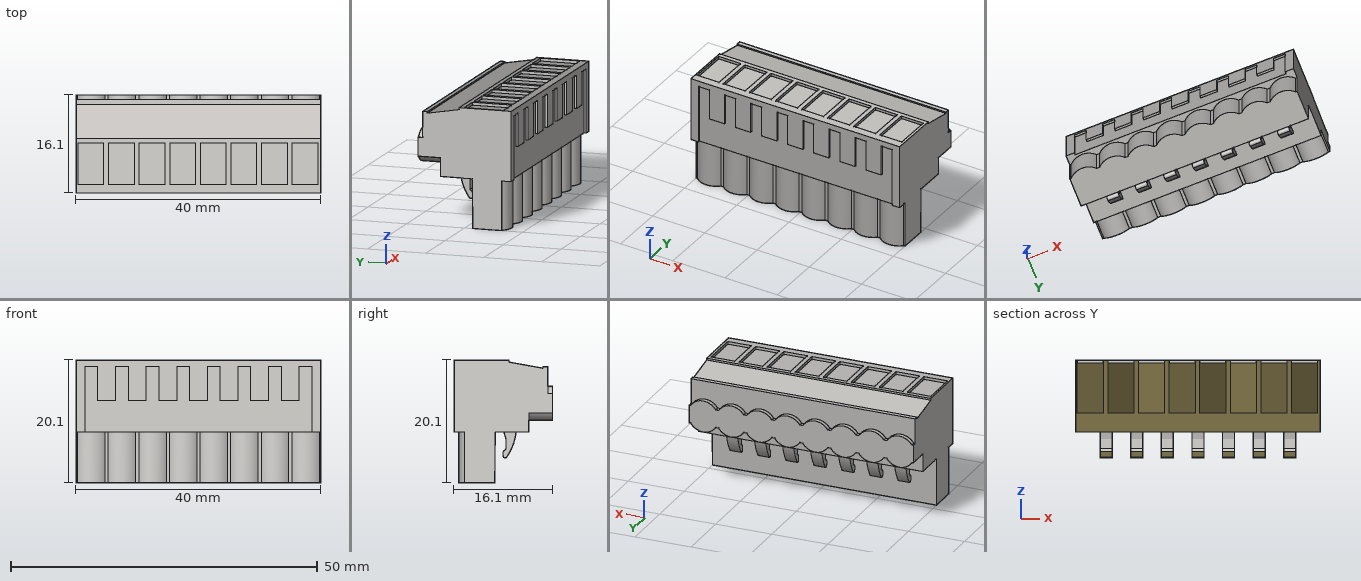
import cadquery as cq


POLES = 8
PITCH = 5.0
LENGTH = POLES * PITCH

HEIGHT = 20.1
DEPTH = 16.1
BODY_BOTTOM = 8.3
TOP_DEPTH = 8.95
SLOPE_FRONT_Z = 19.75
SLOPE_REAR_Z = 18.75
RIM_FRONT_Y = 14.5
RIM_Z = 19.0
REAR_WALL_Y = 15.3
SHELF_TOP = 14.6
SHELF_BOTTOM = 11.45
BODY_REAR_Y = 12.2
STEM_FRONT_Y = 1.65
STEM_REAR_Y = 6.7
STEM_TAPER = 0.1

ROUND_WIDTH = 4.5
COLUMN_BULGE = 0.9
FUNNEL_BULGE = 1.2

WINDOW_OFFSET = -0.1
WINDOW_WIDTH = 4.2
WINDOW_FRONT_Y = 1.45
WINDOW_REAR_Y = 8.2
WINDOW_DEPTH = 0.5
CLAMP_BOTTOM = SHELF_BOTTOM

COMB_DEPTH = 0.35
COMB_TOOTH_WIDTH = 2.1
COMB_TOP = 19.05
COMB_TOOTH_BASE = 13.5

HOOK_WIDTH = 2.0
HOOK_ROOT_REAR_Y = 10.1
HOOK_ROOT_FRONT_Y = 8.1
HOOK_NECK_Y = 8.45
HOOK_NECK_TOP = 7.15
HOOK_NECK_BOTTOM = 5.6
HOOK_NOSE_Y = 7.95
HOOK_NOSE_TOP = 5.1
HOOK_NOSE_BOTTOM = 4.5
HOOK_TIP = (8.5, 4.1)
HOOK_TIP_ROUND = (8.1, 4.15)
HOOK_BACK_MIDDLE = (9.6, 6.1)

pole_centres = [(pole + 0.5) * PITCH - LENGTH / 2 for pole in range(POLES)]
pole_boundaries = [centre + PITCH / 2 for centre in pole_centres[:-1]]


def box(x_min, x_max, y_min, y_max, z_min, z_max):
    """Block between the given limits."""
    size = (x_max - x_min, y_max - y_min, z_max - z_min)
    return cq.Workplane("XY").box(*size, centered=False).translate((x_min, y_min, z_min))


def make_profile():
    """Constant cross-section of the housing, extruded along the whole row."""
    outline = [
        (0, BODY_BOTTOM),
        (0, HEIGHT),
        (TOP_DEPTH, HEIGHT),
        (TOP_DEPTH, SLOPE_FRONT_Z),
        (RIM_FRONT_Y, SLOPE_REAR_Z),
        (RIM_FRONT_Y, RIM_Z),
        (REAR_WALL_Y, RIM_Z),
        (REAR_WALL_Y, SHELF_TOP),
        (DEPTH, SHELF_TOP),
        (DEPTH, SHELF_BOTTOM),
        (BODY_REAR_Y, SHELF_BOTTOM),
        (BODY_REAR_Y, BODY_BOTTOM),
        (STEM_REAR_Y, BODY_BOTTOM),
        (STEM_REAR_Y - STEM_TAPER, 0),
        (STEM_FRONT_Y, 0),
        (STEM_FRONT_Y, BODY_BOTTOM),
    ]
    return cq.Workplane("YZ").polyline(outline).close().extrude(LENGTH / 2, both=True)


def make_column(centre):
    """Rounded column on the front of the stem."""
    left = centre - ROUND_WIDTH / 2
    right = left + ROUND_WIDTH
    back = (STEM_FRONT_Y + STEM_REAR_Y - STEM_TAPER) / 2
    return (
        cq.Workplane("XY")
        .moveTo(left, back)
        .lineTo(left, STEM_FRONT_Y)
        .threePointArc((centre, STEM_FRONT_Y - COLUMN_BULGE), (right, STEM_FRONT_Y))
        .lineTo(right, back)
        .close()
        .extrude(BODY_BOTTOM)
    )


def make_funnel(centre):
    """Rounding above and below the rear shelf, running along Y."""
    left = centre - ROUND_WIDTH / 2
    right = left + ROUND_WIDTH
    outline = (
        cq.Workplane("XZ")
        .moveTo(left, SHELF_BOTTOM)
        .lineTo(left, SHELF_TOP)
        .threePointArc((centre, SHELF_TOP + FUNNEL_BULGE), (right, SHELF_TOP))
        .lineTo(right, SHELF_BOTTOM)
        .threePointArc((centre, SHELF_BOTTOM - FUNNEL_BULGE), (left, SHELF_BOTTOM))
        .close()
    )
    start = (BODY_REAR_Y + STEM_REAR_Y) / 2
    return outline.extrude(start - DEPTH).translate((0, start, 0))


def window_block(centre, z_min, z_max):
    """Block with the plan outline of a window."""
    left = centre + WINDOW_OFFSET - WINDOW_WIDTH / 2
    return box(left, left + WINDOW_WIDTH, WINDOW_FRONT_Y, WINDOW_REAR_Y, z_min, z_max)


def make_window(centre):
    """Rectangular cavity that opens through the flat top and holds a clamp."""
    return window_block(centre, CLAMP_BOTTOM, HEIGHT)


def make_comb():
    """Recess in the front face: a band with one upright tooth per pole."""
    half_tooth = COMB_TOOTH_WIDTH / 2
    left = pole_centres[0] - half_tooth
    right = pole_centres[-1] + half_tooth
    comb = box(left, right, 0, COMB_DEPTH, BODY_BOTTOM, COMB_TOOTH_BASE)
    for centre in pole_centres:
        comb = comb.union(
            box(centre - half_tooth, centre + half_tooth, 0, COMB_DEPTH, BODY_BOTTOM, COMB_TOP)
        )
    return comb


def make_hook(centre):
    """Curved latch hook that hangs from the underside of the housing."""
    return (
        cq.Workplane("YZ")
        .moveTo(HOOK_ROOT_REAR_Y, BODY_BOTTOM)
        .threePointArc(HOOK_BACK_MIDDLE, HOOK_TIP)
        .threePointArc(HOOK_TIP_ROUND, (HOOK_NOSE_Y, HOOK_NOSE_BOTTOM))
        .lineTo(HOOK_NOSE_Y, HOOK_NOSE_TOP)
        .lineTo(HOOK_NECK_Y, HOOK_NECK_BOTTOM)
        .lineTo(HOOK_NECK_Y, HOOK_NECK_TOP)
        .lineTo(HOOK_ROOT_FRONT_Y, BODY_BOTTOM)
        .close()
        .extrude(HOOK_WIDTH / 2, both=True)
        .translate((centre, 0, 0))
    )


def make_housing():
    """The one-piece housing with its columns, funnels, cavities, comb and hooks."""
    housing = make_profile()
    for centre in pole_centres:
        housing = housing.union(make_column(centre))
        housing = housing.union(make_funnel(centre))
        housing = housing.cut(make_window(centre))
    for boundary in pole_boundaries:
        housing = housing.union(make_hook(boundary))
    return housing.cut(make_comb())


def make_clamp(centre):
    """Wire clamp that fills a window cavity up to just below the flat top."""
    return window_block(centre, CLAMP_BOTTOM, HEIGHT - WINDOW_DEPTH)


housing = make_housing()
clamps = [make_clamp(centre) for centre in pole_centres]

result = cq.Compound.makeCompound([housing.val(), *[clamp.val() for clamp in clamps]])